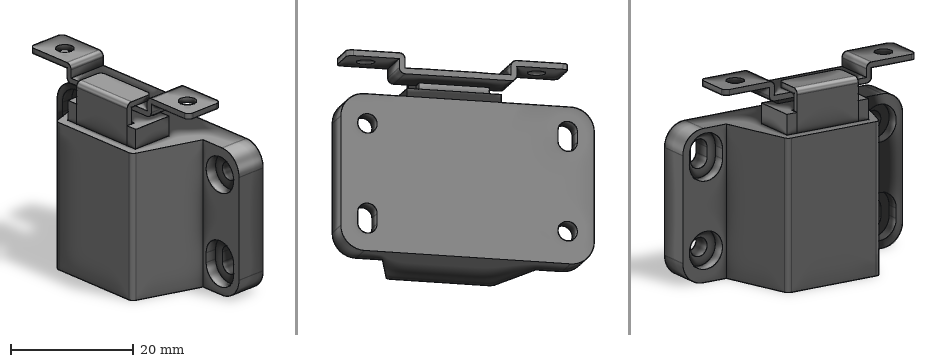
import cadquery as cq


flange_width = 43.0
housing_height = 26.5
flange_thickness = 5.5
flange_corner_radius = 4.0
housing_depth = 17.8
boss_base_half_width = 13.0
boss_front_half_width = 9.0
boss_edge_radius = 1.0

hole_x = 17.0
lower_hole_z = 5.5
upper_hole_z = 21.5
hole_diameter = 3.25
counterbore_diameter = 6.5
counterbore_depth = 2.15
slot_travel = 1.75

sheet = 1.0
sheet_corner_radius = 1.0
bend_radius = 1.0

strike_top = 35.5
strike_drop = 2.5
strike_length = 37.5
strike_center_x = -0.2
strike_mid_inner_half = 9.0
strike_back_y = 6.8
strike_width = 7.35
strike_hole_spacing = 29.0
strike_hole_diameter = 3.0
strike_mid_top = strike_top - strike_drop

hook_half_width = 5.98
hook_front_y = 16.0
hook_tongue_back_y = 10.45
hook_top = strike_mid_top + sheet

slider_half_width = 8.0
slider_back_y = 8.4
slider_front_y = hook_front_y
slider_top = 30.0
pocket_depth = 10.0
pocket_front_clearance = 0.1
pocket_front_y = slider_front_y + pocket_front_clearance
slider_bottom = housing_height - pocket_depth
slider_slot_depth = 1.6

jaw_half_width = hook_half_width
jaw_thickness = 1.85
jaw_height = 1.08
jaw_lean = 0.17


def block(x_min, x_max, back_y, front_y, z_min, z_max):
    """Rectangular block between two depths from the back face."""
    return cq.Workplane("XY").box(
        x_max - x_min, front_y - back_y, z_max - z_min, centered=False
    ).translate((x_min, -front_y, z_min))


def mounting_cutter(diameter, travel, x, z, start_y, end_y):
    """Round or slotted cutter along Y, between two depths from the back face."""
    sketch = cq.Workplane("XZ", origin=(x, -start_y, z))
    if travel > 0:
        sketch = sketch.slot2D(diameter + travel, diameter, 90)
    else:
        sketch = sketch.circle(diameter / 2)
    return sketch.extrude(end_y - start_y)


def make_housing():
    flange = block(-flange_width / 2, flange_width / 2, 0, flange_thickness, 0, housing_height)
    flange = flange.edges("|Y").fillet(flange_corner_radius)

    boss = (
        cq.Workplane("XY")
        .polyline([
            (-boss_base_half_width, -flange_thickness),
            (-boss_front_half_width, -housing_depth),
            (boss_front_half_width, -housing_depth),
            (boss_base_half_width, -flange_thickness),
        ])
        .close()
        .extrude(housing_height)
    )
    boss = boss.faces("<Y").edges("|Z").fillet(boss_edge_radius)
    body = flange.union(boss)

    counterbore_floor_y = flange_thickness - counterbore_depth
    for x, z, travel in [
        (-hole_x, lower_hole_z, 0),
        (-hole_x, upper_hole_z, slot_travel),
        (hole_x, lower_hole_z, slot_travel),
        (hole_x, upper_hole_z, 0),
    ]:
        body = body.cut(mounting_cutter(hole_diameter, travel, x, z, 0, flange_thickness))
        body = body.cut(mounting_cutter(
            counterbore_diameter, travel, x, z, counterbore_floor_y, flange_thickness))

    pocket = block(-slider_half_width, slider_half_width, slider_back_y, pocket_front_y,
                   slider_bottom, housing_height)
    return body.cut(pocket)


def make_strike():
    half_length = strike_length / 2
    inner = strike_mid_inner_half
    outer = inner + sheet
    ear_bottom = strike_top - sheet
    mid_bottom = strike_mid_top - sheet
    strip = (
        cq.Workplane("XZ", origin=(strike_center_x, -strike_back_y, 0))
        .polyline([
            (-half_length, strike_top),
            (-inner, strike_top),
            (-inner, strike_mid_top),
            (inner, strike_mid_top),
            (inner, strike_top),
            (half_length, strike_top),
            (half_length, ear_bottom),
            (outer, ear_bottom),
            (outer, mid_bottom),
            (-outer, mid_bottom),
            (-outer, ear_bottom),
            (-half_length, ear_bottom),
        ])
        .close()
        .extrude(strike_width)
    )

    middle_y = -strike_back_y - strike_width / 2
    for side in (-1, 1):
        for offset, z in [(inner, strike_top), (outer, mid_bottom)]:
            bend = (strike_center_x + side * offset, middle_y, z)
            strip = strip.edges(cq.NearestToPointSelector(bend)).fillet(bend_radius)

    for end_face in ("<X", ">X"):
        strip = strip.faces(end_face).edges("|Z").fillet(sheet_corner_radius)

    holes = (
        cq.Workplane("XY", origin=(0, middle_y, ear_bottom))
        .rarray(strike_hole_spacing, 0.45, 2, 1)
        .circle(strike_hole_diameter / 2)
        .extrude(sheet)
    )
    return strip.cut(holes)


def make_hook():
    leg = block(-hook_half_width, hook_half_width, hook_front_y - sheet, hook_front_y,
                slider_bottom, hook_top)
    tongue = block(-hook_half_width, hook_half_width, hook_tongue_back_y, hook_front_y,
                   strike_mid_top, hook_top)
    tongue = tongue.faces(">Y").edges("|Z").fillet(sheet_corner_radius)
    bent_plate = leg.union(tongue)
    bend = (0, -hook_front_y, hook_top)
    return bent_plate.edges(cq.NearestToPointSelector(bend)).fillet(bend_radius)


def make_slider():
    body = block(-slider_half_width, slider_half_width, slider_back_y, slider_front_y,
                 slider_bottom, slider_top)
    slot = block(-hook_half_width, hook_half_width, slider_front_y - slider_slot_depth, slider_front_y,
                 slider_bottom, slider_top)
    return body.cut(slot)


def make_jaw():
    front_y = slider_back_y + jaw_thickness
    return (
        cq.Workplane("YZ", origin=(-jaw_half_width, 0, slider_top))
        .polyline([
            (-slider_back_y, 0),
            (-slider_back_y - jaw_lean, jaw_height),
            (-front_y - jaw_lean, jaw_height),
            (-front_y, 0),
        ])
        .close()
        .extrude(2 * jaw_half_width)
    )


housing = make_housing()
strike = make_strike()
hook = make_hook()
slider = make_slider()
jaw = make_jaw()

result = cq.Compound.makeCompound([
    housing.solids().val(),
    strike.solids().val(),
    hook.solids().val(),
    slider.solids().val(),
    jaw.solids().val(),
])